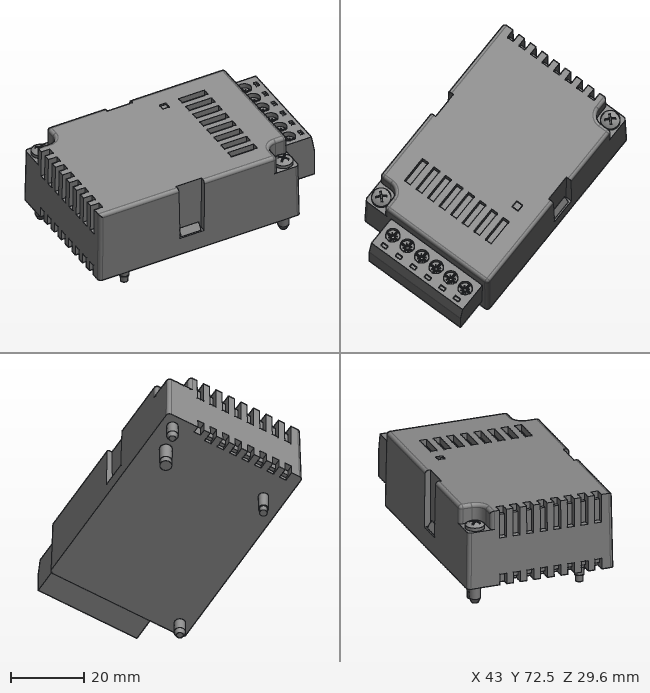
import cadquery as cq
import math

width = 43.0
length = 62.9
height = 22.1
wall_lean = 0.35
edge_radius = 1.0
wall = 1.95
margin = 0.7

pocket_reach_x = 6.95
pocket_reach_y = 7.0
pocket_corner_radius = 3.0
pocket_floor = 16.7
screw_inset = 3.5
screw_head_radius = 2.7
screw_rim_height = 0.95
screw_dome_height = 0.95
screw_cross_length = 3.05
screw_cross_width = 0.4
screw_cross_depth = 0.9
screw_x = width / 2 - screw_inset
cover_screws = [(-screw_x, screw_inset), (screw_x, length - screw_inset)]

screw_tip_radius = 1.6
screw_tip_end_radius = 0.95
screw_tip_shank = 4.1
screw_tip_drop = 5.5
guide_pin_x = 15.6
guide_pin_y = 11.0
guide_pin_shank = 5.5
guide_pin_drop = 7.5
guide_pin_draft = 1.0
left_guide_radii = (1.8, 1.7)
right_guide_radii = (1.45, 1.1)

vent_count = 8
vent_pitch = 4.0
vent_width = 2.0
top_vent_length = 8.05
top_vent_y = 48.95
front_vent_x = 3.0
front_vent_bottom = 13.9
front_vent_reach = 3.0
notch_height = 3.1
notch_step_height = 1.15
window_y = 39.9
window_depth = 0.5

clip_y = 29.1
clip_top_width = 8.0
clip_bottom_width = 7.55
clip_floor = 5.45
ramp_width = 6.15
ramp_height = 1.95
ramp_inset = 0.6

terminal_width = 31.55
terminal_x = -3.6
terminal_bottom = 4.2
terminal_top = 17.25
terminal_back = 72.5
terminal_lean = 1.0
terminal_bend = 12.0
terminal_count = 6
terminal_pitch = 5.0
terminal_screw_y = 66.1
terminal_screw_radius = 1.95
terminal_screw_depth = 1.45
terminal_cross_width = 0.4
terminal_cross_depth = 0.7
terminal_mark_length = 2.5
terminal_mark_width = 0.2
test_slot_y = 69.9
test_slot_width = 1.75
test_slot_length = 1.0
test_slot_depth = 0.7


def box(x_range, y_range, z_range):
    """Box from its lower and upper limit along each axis."""
    size = [high - low for low, high in (x_range, y_range, z_range)]
    return cq.Workplane("XY").box(*size, centered=False).translate((x_range[0], y_range[0], z_range[0]))


def row(count, pitch, middle=0.0):
    """Evenly spaced positions about a middle."""
    return [middle + (i - (count - 1) / 2) * pitch for i in range(count)]


def half_turn(shape):
    """The same shape at the diagonally opposite corner of the housing."""
    return shape.rotate((0, length / 2, 0), (0, length / 2, 1), 180)


def cross(size, bar_width, depth, angle):
    """Cross-shaped cutter that reaches down from z = 0."""
    bar = cq.Workplane("XY").box(size, bar_width, depth, centered=(True, True, False))
    both = bar.union(bar.rotate((0, 0, 0), (0, 0, 1), 90))
    return both.rotate((0, 0, 0), (0, 0, 1), angle).translate((0, 0, -depth))


def housing():
    """Tapered box with a pocket in two corners; all edges rounded but the top front and the base."""
    lean_angle = math.degrees(math.atan(wall_lean / height))
    body = cq.Workplane("XY").center(0, length / 2).rect(width, length).extrude(height, taper=lean_angle)
    pocket = box(
        (-width, pocket_reach_x - width / 2), (-length, pocket_reach_y), (pocket_floor, 2 * height)
    )
    pocket = pocket.edges("|Z and >X and >Y").fillet(pocket_corner_radius)
    body = body.cut(pocket).cut(half_turn(pocket))

    def is_rounded(edge):
        limits = edge.BoundingBox()
        middle = edge.Center()
        upright = limits.zlen > margin
        on_side_wall = abs(middle.x) > width / 2 - margin
        on_front_or_back = abs(middle.y - length / 2) > length / 2 - margin
        on_top = limits.zmin > height - margin
        on_front = limits.ymax < margin
        return (upright and (on_side_wall or on_front_or_back)) or (on_top and not on_front)

    rounded = [edge for edge in body.edges().vals() if is_rounded(edge)]
    return body.newObject(rounded).fillet(edge_radius)


def cover_screw():
    """Domed screw head on the pocket floor, with its tip below the housing."""
    rim_top = pocket_floor + screw_rim_height
    dome_top = rim_top + screw_dome_height
    dome_radius = (screw_head_radius**2 + screw_dome_height**2) / (2 * screw_dome_height)
    half_angle = math.asin(screw_head_radius / dome_radius) / 2
    arc_middle = (dome_radius * math.sin(half_angle), dome_top - dome_radius * (1 - math.cos(half_angle)))
    head = (
        cq.Workplane("XZ")
        .moveTo(0, pocket_floor - margin)
        .lineTo(screw_head_radius, pocket_floor - margin)
        .lineTo(screw_head_radius, rim_top)
        .threePointArc(arc_middle, (0, dome_top))
        .close()
        .revolve(360, (0, 0), (0, 1))
    )
    recess = cross(screw_cross_length, screw_cross_width, screw_cross_depth, 45).translate((0, 0, dome_top))
    tip = (
        cq.Workplane("XZ")
        .polyline([
            (0, margin),
            (screw_tip_radius, margin),
            (screw_tip_radius, -screw_tip_shank),
            (screw_tip_end_radius, -screw_tip_drop),
            (0, -screw_tip_drop),
        ])
        .close()
        .revolve(360, (0, 0), (0, 1))
    )
    return head.cut(recess).union(tip)


def guide_pin(shank_radius, end_radius):
    """Stepped, slightly tapered pin that hangs from the underside."""
    shank = cq.Workplane("XY").circle(shank_radius).extrude(-guide_pin_shank, taper=guide_pin_draft)
    end_length = guide_pin_drop - guide_pin_shank
    end = cq.Workplane("XY", origin=(0, 0, -guide_pin_shank)).circle(end_radius)
    end = end.extrude(-end_length, taper=guide_pin_draft)
    return shank.union(end)


def vents():
    """Slots in the top face, slots over the top front edge and notches along the base."""
    half = vent_width / 2
    above = height + margin
    cuts = cq.Workplane("XY")
    for x in row(vent_count, vent_pitch):
        y_range = (top_vent_y - top_vent_length / 2, top_vent_y + top_vent_length / 2)
        cuts = cuts.add(box((x - half, x + half), y_range, (height - wall, above)))
    for i, x in enumerate(row(vent_count, vent_pitch, front_vent_x)):
        across = (x - half, x + half)
        cuts = cuts.add(box(across, (-margin, wall), (front_vent_bottom, above)))
        cuts = cuts.add(box(across, (-margin, front_vent_reach), (height - wall, above)))
        cuts = cuts.add(box(across, (-margin, wall), (-margin, notch_height)))
        if i > 0:
            cuts = cuts.add(box(across, (-margin, front_vent_reach), (-margin, notch_step_height)))
    window_x = row(vent_count, vent_pitch)[0]
    window = box(
        (window_x - half, window_x + half),
        (window_y - half, window_y + half),
        (height - window_depth, above),
    )
    return cuts.add(window).combine()


def clip_recess():
    """Recess in the -X wall, narrowing downward, with a ramp on its floor."""
    back = wall - width / 2
    recess = (
        cq.Workplane("YZ", origin=(back, clip_y, 0))
        .polyline([
            (-clip_bottom_width / 2, clip_floor),
            (clip_bottom_width / 2, clip_floor),
            (clip_top_width / 2, height + margin),
            (-clip_top_width / 2, height + margin),
        ])
        .close()
        .extrude(-2 * wall)
    )
    ramp = (
        cq.Workplane("XZ", origin=(0, clip_y + ramp_width / 2, 0))
        .polyline([
            (ramp_inset - width / 2, clip_floor),
            (back, clip_floor),
            (back, clip_floor + ramp_height),
        ])
        .close()
        .extrude(ramp_width)
    )
    return recess.cut(ramp)


def terminal_block():
    """Block behind the housing with a row of sunk screws and test slots."""
    block = (
        cq.Workplane("YZ", origin=(terminal_x - terminal_width / 2, 0, 0))
        .polyline([
            (length - wall, terminal_bottom),
            (terminal_back, terminal_bottom),
            (terminal_back, terminal_bend),
            (terminal_back - terminal_lean, terminal_top),
            (length - wall, terminal_top),
        ])
        .close()
        .extrude(terminal_width)
    )
    bore = cq.Workplane("XY").circle(terminal_screw_radius).extrude(-terminal_screw_depth)
    drive = cross(2 * terminal_screw_radius, terminal_cross_width, terminal_cross_depth, 0)
    marks = cross(terminal_mark_length, terminal_mark_width, terminal_cross_depth, 45)
    sunk_screw = bore.union(drive.union(marks).translate((0, 0, -terminal_screw_depth)))
    test_slot = cq.Workplane("XY").rect(test_slot_width, test_slot_length).extrude(-test_slot_depth)
    for x in row(terminal_count, terminal_pitch, terminal_x):
        block = block.cut(sunk_screw.translate((x, terminal_screw_y, terminal_top)))
        block = block.cut(test_slot.translate((x, test_slot_y, terminal_top)))
    return block


clip = clip_recess()
result = housing().cut(vents()).cut(clip).cut(clip.mirror("YZ"))
result = result.union(terminal_block())
for x, y in cover_screws:
    result = result.union(cover_screw().translate((x, y, 0)))
result = result.union(guide_pin(*left_guide_radii).translate((-guide_pin_x, guide_pin_y, 0)))
result = result.union(guide_pin(*right_guide_radii).translate((guide_pin_x, guide_pin_y, 0)))